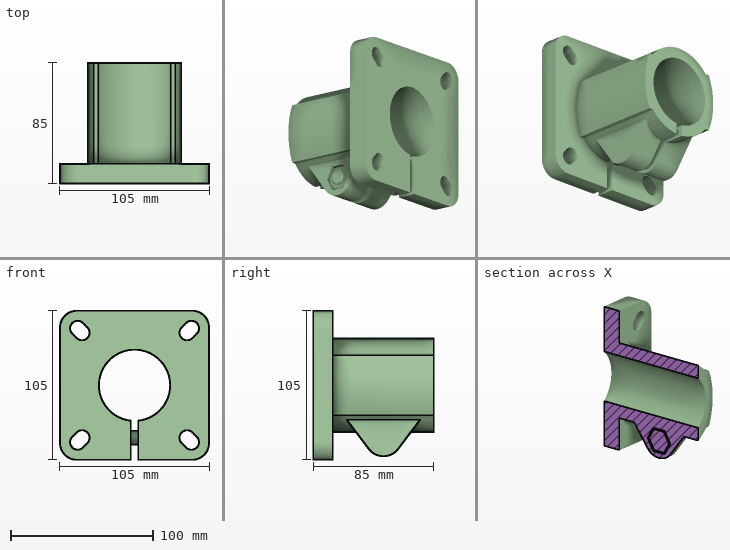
import cadquery as cq
import math

plate_side = 105
plate_thickness = 14.0
plate_corner_radius = 12.0

total_depth = 85
sleeve_diameter = 66.0
sleeve_radius = sleeve_diameter / 2
bore_diameter = 50.0
sleeve_length = total_depth - plate_thickness

pad_half_height = 21
pad_edge_x = 28.8

slot_diameter = 10.5
slot_inner_offset = 37.0
slot_outer_offset = 40.0

slit_width = 5.0
ear_radius = 13.0
ear_top_z = -24.3
ear_top_half_length = 25.7
ear_half_span = math.sqrt(sleeve_radius**2 - ear_top_z**2)
clamp_y = plate_thickness + sleeve_length / 2
clamp_z = -37.0

bolt_diameter = 10.0
bolt_tip_chamfer = 0.8
bolt_tip_overhang = 0.5
pocket_across_flats = 17.3
pocket_across_corners = pocket_across_flats / math.cos(math.pi / 6)
pocket_depth = 9.5
nut_across_flats = 16.0
nut_across_corners = nut_across_flats / math.cos(math.pi / 6)
nut_face_diameter = 15.0
nut_chamfer_angle = 30
nut_recess = 1.5


def make_plate():
    plate = cq.Workplane("XY").box(plate_side, plate_thickness, plate_side, centered=(True, False, True))
    return plate.edges("|Y").fillet(plate_corner_radius)


def make_sleeve():
    sleeve = cq.Workplane("XZ").circle(sleeve_radius).extrude(-total_depth)
    pads = (
        cq.Workplane("XZ")
        .moveTo(-pad_edge_x, -pad_half_height)
        .threePointArc((-sleeve_radius, 0), (-pad_edge_x, pad_half_height))
        .lineTo(pad_edge_x, pad_half_height)
        .threePointArc((sleeve_radius, 0), (pad_edge_x, -pad_half_height))
        .close()
        .extrude(-total_depth)
    )
    return sleeve.union(pads)


def make_ears():
    corner_rise = ear_top_z - clamp_z
    corner_distance = math.hypot(ear_top_half_length, corner_rise)
    tangent_angle = math.atan2(corner_rise, ear_top_half_length) - math.acos(ear_radius / corner_distance)
    tangent_y = ear_radius * math.cos(tangent_angle)
    tangent_z = clamp_z + ear_radius * math.sin(tangent_angle)
    return (
        cq.Workplane("YZ")
        .moveTo(clamp_y - ear_top_half_length, ear_top_z)
        .lineTo(clamp_y - tangent_y, tangent_z)
        .threePointArc((clamp_y, clamp_z - ear_radius), (clamp_y + tangent_y, tangent_z))
        .lineTo(clamp_y + ear_top_half_length, ear_top_z)
        .close()
        .extrude(ear_half_span, both=True)
    )


def clamp_plane(x):
    return cq.Workplane("YZ", origin=(x, clamp_y, clamp_z))


def make_mounting_slots():
    length = math.sqrt(2) * (slot_outer_offset - slot_inner_offset) + slot_diameter
    middle = (slot_inner_offset + slot_outer_offset) / 2
    slots = cq.Workplane("XZ")
    for x_side in (-1, 1):
        for z_side in (-1, 1):
            slot = (
                cq.Workplane("XZ")
                .center(x_side * middle, z_side * middle)
                .slot2D(length, slot_diameter, 45 * x_side * z_side)
                .extrude(-plate_thickness)
            )
            slots = slots.add(slot)
    return slots.combine()


def make_slit():
    return cq.Workplane("XY").box(
        slit_width, total_depth, plate_side / 2, centered=(True, False, False)
    ).translate((0, 0, -plate_side / 2))


def make_nut():
    nut_face_x = -ear_half_span + nut_recess
    nut_height = pocket_depth - nut_recess
    body = clamp_plane(nut_face_x).polygon(6, nut_across_corners).extrude(nut_height)
    cone_slope_angle = 90 - nut_chamfer_angle
    corner_cone = clamp_plane(nut_face_x).circle(nut_face_diameter / 2).extrude(
        nut_height, taper=-cone_slope_angle
    )
    return body.intersect(corner_cone)


def make_bolt():
    tip_x = -ear_half_span - bolt_tip_overhang
    shank = clamp_plane(tip_x).circle(bolt_diameter / 2).extrude(2 * ear_half_span + bolt_tip_overhang)
    return shank.faces("<X").chamfer(bolt_tip_chamfer)


bore = cq.Workplane("XZ").circle(bore_diameter / 2).extrude(-total_depth)
hex_pocket = clamp_plane(-ear_half_span).polygon(6, pocket_across_corners).extrude(pocket_depth)

result = make_plate().union(make_sleeve()).union(make_ears())
result = result.cut(bore).cut(make_slit()).cut(make_mounting_slots()).cut(hex_pocket)
result = result.union(make_nut()).union(make_bolt())